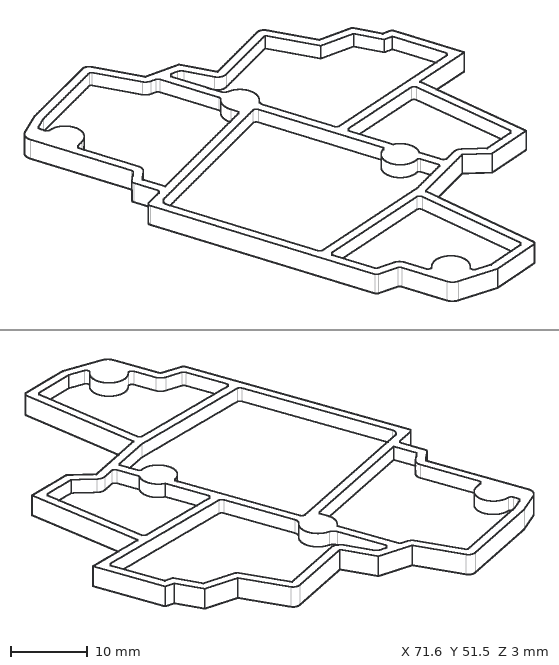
import cadquery as cq
import math

HEIGHT = 3.0
FLOOR = 1.0
WALL = 1.3
TOP = 51.5
POCKET_DEPTH = HEIGHT - FLOOR

BASE_LEFT = 22.9
BASE_RIGHT = 53.1
SHOULDER_Y = 20.4
STEP_Y = 3.65
UPPER_LEFT = 15.75
LEFT_LOBE_BOTTOM = 6.1
RIGHT_LOBE_BOTTOM = 3.1

CROSS_RIB_BOTTOM = 26.7
CROSS_RIB_TOP = CROSS_RIB_BOTTOM + WALL
UPRIGHT_RIB_RIGHT = BASE_LEFT + WALL
RIB_ANGLE = 11.0
RIB_LEAN = math.tan(math.radians(RIB_ANGLE))

NOTCH = (39.95, 42.65)
TOP_RIGHT = NOTCH[0] + (TOP - NOTCH[1]) * RIB_LEAN

BOSS_RADIUS = 2.5
CROSS_RIB_LEFT_BOSS = (21.55, 27.5)
CROSS_RIB_RIGHT_BOSS = (46.0, 26.4)
LEFT_LOBE_BOSS = (5.8, 8.9)
RIGHT_LOBE_BOSS = (64.6, 6.45)
BOSSES = [CROSS_RIB_LEFT_BOSS, CROSS_RIB_RIGHT_BOSS, LEFT_LOBE_BOSS, RIGHT_LOBE_BOSS]

SHARP = 0
TINY = 0.3
SMALL = 0.5
MEDIUM = 1.0
LARGE = 1.5
BEND = WALL

OUTLINE = [
    (BASE_LEFT, 0, SMALL),
    (BASE_LEFT, STEP_Y, SMALL),
    (18.6, STEP_Y, SMALL),
    (17.5, LEFT_LOBE_BOTTOM, SMALL),
    (0.9, LEFT_LOBE_BOTTOM, LARGE),
    (0, 11.0, SHARP),
    (0, 24.8, MEDIUM),
    (8.1, 26.35, SHARP),
    (10.5, 31.0, SHARP),
    (UPPER_LEFT, 31.9, SHARP),
    (UPPER_LEFT, 43.45, MEDIUM),
    (23.7, 44.95, SHARP),
    (26.05, 49.5, SHARP),
    (30.2, 50.25, SHARP),
    (30.85, TOP, SHARP),
    (TOP_RIGHT, TOP, SHARP),
    (*NOTCH, SHARP),
    (57.7, 39.2, SHARP),
    (56.4, 32.35, SHARP),
    (BASE_RIGHT, 30.3, SHARP),
    (BASE_RIGHT, SHOULDER_Y, SHARP),
    (71.65, 16.7, SMALL),
    (70.2, 8.9, SHARP),
    (66.7, RIGHT_LOBE_BOTTOM, LARGE),
    (58.8, RIGHT_LOBE_BOTTOM, SMALL),
    (57.1, 0, SMALL),
]
OUTLINE_POINTS = [(x, y) for x, y, radius in OUTLINE]

POCKET_CORNERS = [
    (18.3, LEFT_LOBE_BOTTOM + WALL, BEND),
    (LEFT_LOBE_BOSS[0] + BOSS_RADIUS, LEFT_LOBE_BOTTOM + WALL, SMALL),
    (LEFT_LOBE_BOSS[0] - BOSS_RADIUS, LEFT_LOBE_BOSS[1], SMALL),
    (1.65, LEFT_LOBE_BOSS[1], SMALL),
    (WALL, 23.75, TINY),
    (8.95, 25.2, BEND),
    (9.7, CROSS_RIB_BOTTOM, SMALL),
    (19.05, CROSS_RIB_BOTTOM, SMALL),
    (BASE_LEFT, CROSS_RIB_LEFT_BOSS[1] - BOSS_RADIUS, TINY),
    (10.4, CROSS_RIB_TOP, SMALL),
    (11.4, 29.85, MEDIUM),
    (UPPER_LEFT + WALL, 30.85, BEND),
    (40.0, TOP - WALL, SMALL),
    (35.8, CROSS_RIB_TOP, SMALL),
    (24.05, CROSS_RIB_TOP, MEDIUM),
    (19.05, CROSS_RIB_TOP, MEDIUM),
    (37.1, CROSS_RIB_TOP, SMALL),
    (39.65, 41.45, SMALL),
    (56.2, 38.2, SMALL),
    (BASE_RIGHT - WALL, 31.0, BEND),
    (BASE_RIGHT - WALL, CROSS_RIB_TOP, SMALL),
    (UPRIGHT_RIB_RIGHT, WALL, MEDIUM),
    (UPRIGHT_RIB_RIGHT, CROSS_RIB_BOTTOM, SMALL),
    (48.1, WALL, SMALL),
    (BASE_RIGHT - WALL, CROSS_RIB_BOTTOM, TINY),
    (48.5, CROSS_RIB_BOTTOM, TINY),
    (43.5, CROSS_RIB_BOTTOM, TINY),
    (49.4, WALL, SMALL),
    (52.9, 19.1, SMALL),
    (70.15, 15.7, SMALL),
    (67.1, 6.3, SMALL),
    (63.2, RIGHT_LOBE_BOTTOM + WALL, SMALL),
    (58.1, RIGHT_LOBE_BOTTOM + WALL, BEND),
    (56.3, WALL, SMALL),
]


def round_corners(body, corners):
    """Round the upright edge of the body nearest to each corner that has a radius."""
    for x, y, radius in corners:
        if radius > SHARP:
            nearest = cq.selectors.NearestToPointSelector((x, y, HEIGHT / 2))
            body = body.edges("|Z").edges(nearest).fillet(radius)
    return body


def floor_plane():
    return cq.Workplane("XY").workplane(offset=FLOOR)


def block(left, bottom, right, top):
    corners = [(left, bottom), (right, bottom), (right, top), (left, top)]
    return floor_plane().polyline(corners).close().extrude(POCKET_DEPTH)


def slanted_rib(x, y, bottom, top):
    """Rib leaning left by RIB_ANGLE towards its foot, with its right face through (x, y)."""
    foot_x = x - (y - bottom) * RIB_LEAN
    head_x = x + (top - y) * RIB_LEAN
    width = WALL / math.cos(math.radians(RIB_ANGLE))
    corners = [(foot_x, bottom), (head_x, top), (head_x - width, top), (foot_x - width, bottom)]
    return floor_plane().polyline(corners).close().extrude(POCKET_DEPTH)


def make_plate():
    plate = cq.Workplane("XY").polyline(OUTLINE_POINTS).close().extrude(HEIGHT)
    return round_corners(plate, OUTLINE)


def make_ribs():
    return [
        block(0, CROSS_RIB_BOTTOM, BASE_RIGHT, CROSS_RIB_TOP),
        block(BASE_LEFT, 0, UPRIGHT_RIB_RIGHT, CROSS_RIB_BOTTOM),
        slanted_rib(*NOTCH, CROSS_RIB_BOTTOM, TOP),
        slanted_rib(BASE_RIGHT, SHOULDER_Y, 0, CROSS_RIB_BOTTOM),
    ]


def make_bosses():
    """Round bosses, and the webs that tie two of them to the neighbouring walls."""
    bosses = [floor_plane().center(x, y).circle(BOSS_RADIUS).extrude(POCKET_DEPTH) for x, y in BOSSES]
    rib_boss_x, rib_boss_y = CROSS_RIB_LEFT_BOSS
    lobe_boss_x, lobe_boss_y = LEFT_LOBE_BOSS
    webs = [
        block(rib_boss_x, rib_boss_y - BOSS_RADIUS, BASE_LEFT, rib_boss_y),
        block(0, 0, lobe_boss_x + BOSS_RADIUS, lobe_boss_y),
    ]
    return bosses + webs


def make_pockets():
    """Everything inside the wall and above the floor, less the ribs and bosses."""
    inside = floor_plane().polyline(OUTLINE_POINTS).close().offset2D(-WALL, "intersection")
    pockets = inside.extrude(POCKET_DEPTH)
    for standing_part in make_ribs() + make_bosses():
        pockets = pockets.cut(standing_part)
    return round_corners(pockets, POCKET_CORNERS)


result = make_plate().cut(make_pockets())